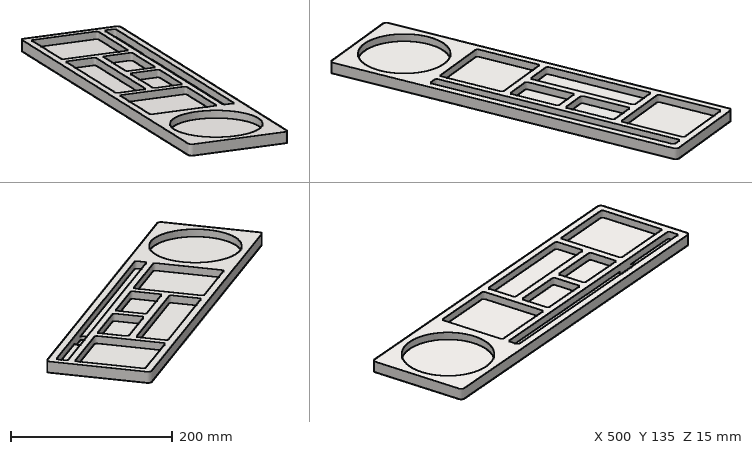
import cadquery as cq

length = 500.0
width = 135.0
height = 15.0
corner_radius = 5.0

floor_thickness = 5.0
rim = 10.0
wall = 10.0
pocket_radius = 3.0
slot_width = 15.0
square_side = 91.0
small_length = 70.0
small_width = 40.0
middle_length = 2 * small_length + wall
round_diameter = 115.0
round_right_margin = 10.0

opening_start = 90.0
opening_length = 30.0

middle_x = rim + square_side + wall
right_square_x = middle_x + middle_length + wall
slot_length = right_square_x + square_side - rim
slot_y = width - rim - slot_width
square_top = rim + square_side
small_y = square_top - small_width
middle_width = small_y - wall - rim
round_x = length - round_right_margin - round_diameter / 2


def rounded_block(x, y, size_x, size_y, bottom):
    """Round-cornered cutter from a given bottom level up to the top face."""
    return (
        cq.Workplane("XY")
        .box(size_x, size_y, height - bottom, centered=False)
        .edges("|Z")
        .fillet(pocket_radius)
        .translate((x, y, bottom))
    )


result = (
    cq.Workplane("XY")
    .box(length, width, height, centered=False)
    .edges("|Z")
    .fillet(corner_radius)
)

pockets = [
    (rim, slot_y, slot_length, slot_width),
    (rim, rim, square_side, square_side),
    (right_square_x, rim, square_side, square_side),
    (middle_x, rim, middle_length, middle_width),
    (middle_x, small_y, small_length, small_width),
    (middle_x + small_length + wall, small_y, small_length, small_width),
]
for x, y, size_x, size_y in pockets:
    result = result.cut(rounded_block(x, y, size_x, size_y, floor_thickness))

result = result.cut(rounded_block(opening_start, slot_y, opening_length, slot_width, 0))

round_recess = (
    cq.Workplane("XY", origin=(round_x, width / 2, floor_thickness))
    .circle(round_diameter / 2)
    .extrude(height - floor_thickness)
)
result = result.cut(round_recess)